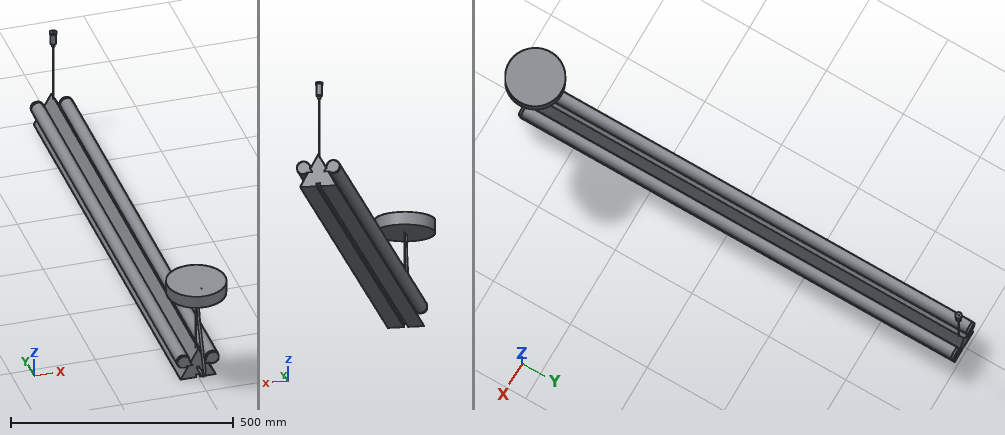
import cadquery as cq
import math

ceiling_z = 246.0
housing_front_y = -539.0
housing_back_y = 592.0
housing_length = housing_back_y - housing_front_y

housing_width = 83.0
housing_height = 75.0
slot_width = 10.0
slot_depth = 7.0
side_tilt = math.atan(housing_width / 2 / housing_height)
groove_depth = 8.0
groove_half_angle = math.radians(30)

tube_radius = 15.0
tube_axis_z = 45.0
tube_axis_x = (
    (1 - tube_axis_z / housing_height) * housing_width / 2
    + tube_radius / math.cos(side_tilt)
)
cap_length = 6.0
cap_step = 0.6
key_flank_length = 12.0

canopy_diameter = 136.0
canopy_height = 30.0
canopy_front_y = -592.0
canopy_y = canopy_front_y + canopy_diameter / 2
canopy_bottom_z = ceiling_z - canopy_height

wire_diameter = 2.0
wire_socket_depth = 7.0
wire_bottom_z = housing_height - wire_socket_depth
front_wire_y = -521.0
back_wire_y = 578.0

flange_diameter = 15.0
flange_height = 4.0
barrel_diameter = 13.0
barrel_bottom_z = 214.0
barrel_chamfer = 2.0
tip_diameter = 7.0
tip_height = 5.0

cable_diameter = 6.0
cable_drop_y = -536.0
cable_entry_z = 25.0
cable_cover = 0.6
hook_radius = 21.0
upper_bend_start_z = 194.0
upper_bend_radius = 130.0
slant_angle = math.radians(22.6)
lower_bend_radius = 19.0


def along_housing(profile, start_y, length):
    """Extrude a profile drawn on the XZ plane from start_y towards +Y."""
    return profile.extrude(-length).translate((0, start_y, 0))


def make_key_profile():
    """V-shaped key pointing along the side's inward normal, for the tube at +X."""
    normal_x = math.cos(side_tilt)
    normal_z = math.sin(side_tilt)
    root_x = tube_axis_x - (tube_radius + groove_depth) * normal_x
    root_z = tube_axis_z - (tube_radius + groove_depth) * normal_z
    corners = [(root_x, root_z)]
    for turn in (-groove_half_angle, groove_half_angle):
        flank_x = root_x + key_flank_length * math.cos(side_tilt + turn)
        flank_z = root_z + key_flank_length * math.sin(side_tilt + turn)
        corners.append((flank_x, flank_z))
    return cq.Workplane("XZ").polyline(corners).close()


def make_key(side):
    """Full-length key; side is +1 for the tube at +X and -1 for the tube at -X."""
    key = along_housing(make_key_profile(), housing_front_y, housing_length)
    return key if side > 0 else key.mirror("YZ")


def make_tube(side):
    """Lamp tube with slightly thinner end caps and a key that sits in the housing groove."""
    axis = cq.Workplane("XZ").center(side * tube_axis_x, tube_axis_z)
    core = along_housing(axis.circle(tube_radius - cap_step), housing_front_y, housing_length)
    glass = along_housing(
        axis.circle(tube_radius), housing_front_y + cap_length, housing_length - 2 * cap_length
    )
    return core.union(glass).union(make_key(side))


def make_wire(y, top_z):
    """Vertical suspension wire, from its socket in the housing ridge up to top_z."""
    return (
        cq.Workplane("XY", origin=(0, y, wire_bottom_z))
        .circle(wire_diameter / 2)
        .extrude(top_z - wire_bottom_z)
    )


def make_housing():
    """Triangular bar with the bottom slot, the side grooves and the wire sockets."""
    half_width = housing_width / 2
    section = cq.Workplane("XZ").polyline(
        [(-half_width, 0), (half_width, 0), (0, housing_height)]
    ).close()
    housing = along_housing(section, housing_front_y, housing_length)
    slot = cq.Workplane("XZ").rect(slot_width, 2 * slot_depth)
    housing = housing.cut(along_housing(slot, housing_front_y, housing_length))
    for side in (-1, 1):
        housing = housing.cut(make_key(side))
    for y in (front_wire_y, back_wire_y):
        housing = housing.cut(make_wire(y, ceiling_z))
    return housing


def make_cable():
    """Round cable: hook inside the canopy, drop, slanted run, and bend into the housing end."""
    hook_z = ceiling_z - cable_cover - cable_diameter / 2 - hook_radius
    hook_end_y = cable_drop_y - 2 * hook_radius

    def upper_bend_point(angle):
        y = cable_drop_y - upper_bend_radius * (1 - math.cos(angle))
        z = upper_bend_start_z - upper_bend_radius * math.sin(angle)
        return (y, z)

    slant_start = upper_bend_point(slant_angle)

    slant_end_z = cable_entry_z + lower_bend_radius * (1 + math.sin(slant_angle))
    slant_end_y = slant_start[0] - (slant_start[1] - slant_end_z) * math.tan(slant_angle)
    lower_bend_y = slant_end_y + lower_bend_radius * math.cos(slant_angle)
    lower_bend_z = cable_entry_z + lower_bend_radius
    middle_angle = (slant_angle - math.pi / 2) / 2
    lower_bend_middle = (
        lower_bend_y - lower_bend_radius * math.cos(middle_angle),
        lower_bend_z + lower_bend_radius * math.sin(middle_angle),
    )

    path = (
        cq.Workplane("YZ")
        .moveTo(hook_end_y, hook_z)
        .threePointArc((cable_drop_y - hook_radius, hook_z + hook_radius), (cable_drop_y, hook_z))
        .lineTo(cable_drop_y, upper_bend_start_z)
        .threePointArc(upper_bend_point(slant_angle / 2), slant_start)
        .lineTo(slant_end_y, slant_end_z)
        .threePointArc(lower_bend_middle, (lower_bend_y, cable_entry_z))
        .lineTo(housing_front_y, cable_entry_z)
    )
    cable_end = cq.Workplane("XY", origin=(0, hook_end_y, hook_z))
    return cable_end.circle(cable_diameter / 2).sweep(path)


def make_canopy(cable):
    """Ceiling disc with a passage that fits the hooked end of the cable."""
    disc = (
        cq.Workplane("XY", origin=(0, canopy_y, canopy_bottom_z))
        .circle(canopy_diameter / 2)
        .extrude(canopy_height)
    )
    return disc.cut(cable)


def make_gripper(wire):
    """Flanged barrel with a narrow tip, bored through for the wire."""
    flange = cq.Workplane("XY", origin=(0, back_wire_y, ceiling_z))
    flange = flange.circle(flange_diameter / 2).extrude(-flange_height)
    barrel = cq.Workplane("XY", origin=(0, back_wire_y, barrel_bottom_z))
    barrel = barrel.circle(barrel_diameter / 2).extrude(ceiling_z - barrel_bottom_z)
    barrel = barrel.faces("<Z").chamfer(barrel_chamfer)
    tip = cq.Workplane("XY", origin=(0, back_wire_y, barrel_bottom_z))
    tip = tip.circle(tip_diameter / 2).extrude(-tip_height)
    return flange.union(barrel).union(tip).cut(wire)


housing = make_housing()
tubes = [make_tube(side) for side in (-1, 1)]
front_wire = make_wire(front_wire_y, canopy_bottom_z)
back_wire = make_wire(back_wire_y, ceiling_z)
cable = make_cable()
canopy = make_canopy(cable)
gripper = make_gripper(back_wire)

result = cq.Compound.makeCompound(
    [
        housing.val(),
        *[tube.val() for tube in tubes],
        front_wire.val(),
        back_wire.val(),
        cable.val(),
        canopy.val(),
        gripper.val(),
    ]
)